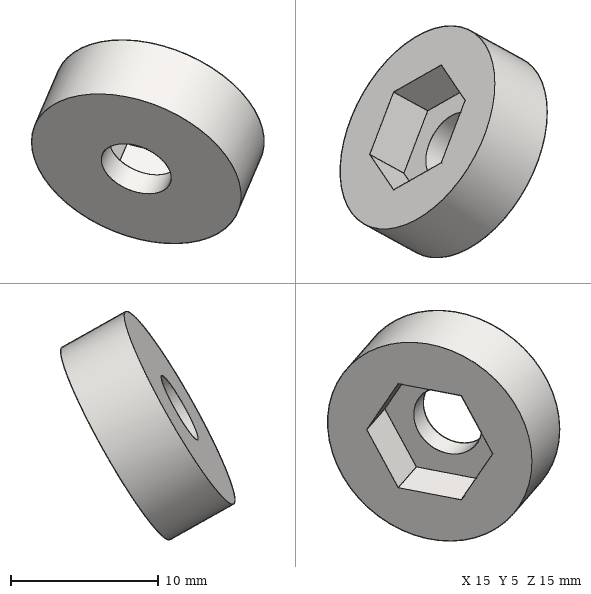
import cadquery as cq
import math

outer_diameter = 15.0
bore_diameter = 5.0
thickness = 5.0
floor_thickness = 1.75
nut_across_flats = 8.0
hexagon_sides = 6

front_y = -thickness / 2
pocket_depth = thickness - floor_thickness
nut_across_corners = nut_across_flats / math.cos(math.pi / hexagon_sides)


def plane_along_y(y):
    """Workplane facing +Y at the given y, with local x along -X and local y along +Z."""
    return cq.Workplane(cq.Plane(origin=(0, y, 0), xDir=(-1, 0, 0), normal=(0, 1, 0)))


def make_ring():
    """Disc centred on the origin, with a through bore along Y."""
    return (
        plane_along_y(front_y)
        .circle(outer_diameter / 2)
        .circle(bore_diameter / 2)
        .extrude(thickness)
    )


def make_nut_pocket():
    """Hexagonal prism open at the +Y face, with two of its flats facing +Z and -Z."""
    return (
        plane_along_y(front_y + floor_thickness)
        .polygon(hexagon_sides, nut_across_corners)
        .extrude(pocket_depth)
    )


result = make_ring().cut(make_nut_pocket())